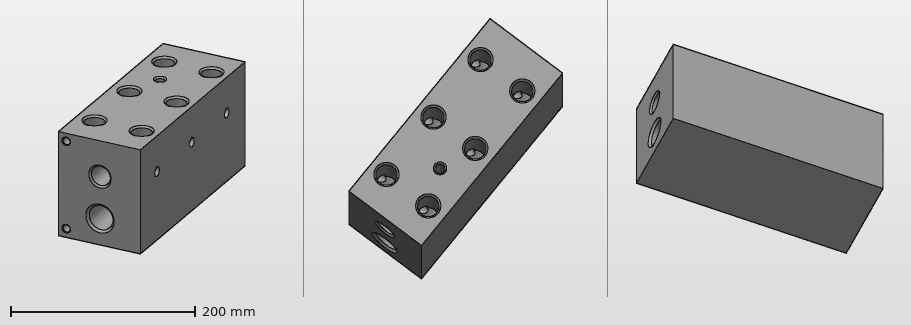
import cadquery as cq
import math

WIDTH = 100.0
LENGTH = 248.2
HEIGHT = 125.3
TOP = HEIGHT / 2
FRONT = -LENGTH / 2
RIGHT = WIDTH / 2

DRILL_POINT_ANGLE = 118.0

GALLERY_X = 0.7
UPPER_GALLERY_Z = 19.5
UPPER_GALLERY_DIAMETER = 23.0
UPPER_GALLERY_MOUTH_DIAMETER = 27.3
LOWER_GALLERY_Z = -30.8
LOWER_GALLERY_DIAMETER = 29.0
LOWER_GALLERY_MOUTH_DIAMETER = 34.5

PASSAGE_DIAMETER = 11.0
PASSAGE_OFFSET_Y = -3.5
PASSAGE_FLOOR_ABOVE_PORT_TIP = 4.2
PASSAGE_Z = UPPER_GALLERY_Z

PORT_DIAMETER = UPPER_GALLERY_DIAMETER
PORT_MOUTH_DIAMETER = UPPER_GALLERY_MOUTH_DIAMETER
LEFT_COLUMN_X = -28.0
RIGHT_COLUMN_X = 29.5
MIDDLE_ROW_Y = 1.5
ROW_PITCH = 82.6
ROWS_Y = [MIDDLE_ROW_Y + step * ROW_PITCH for step in (-1, 0, 1)]
PORT_TIP_Z = PASSAGE_Z - PASSAGE_DIAMETER / 2 - PASSAGE_FLOOR_ABOVE_PORT_TIP

GAUGE_DIAMETER = 10.7
GAUGE_MOUTH_DIAMETER = 14.5
GAUGE_X = -12.0
GAUGE_Y = 43.0
GAUGE_DEPTH = TOP - UPPER_GALLERY_Z

MOUNT_DIAMETER = 8.5
MOUNT_MOUTH_DIAMETER = 10.2
MOUNT_DEPTH = 19.9
MOUNT_X = -40.5
MOUNT_MIDDLE_Z = 0.5
MOUNT_SPACING = 105.0


def point_length(diameter):
    """Length of the conical point left by a drill."""
    return diameter / 2 / math.tan(math.radians(DRILL_POINT_ANGLE / 2))


def revolve_about_y(outline):
    return outline.close().revolve(360, (0, 0, 0), (0, 1, 0))


def drilling(diameter, mouth_diameter, depth):
    """Blind hole going down from the origin; depth is that of its cylindrical wall."""
    radius = diameter / 2
    mouth_radius = mouth_diameter / 2
    chamfer = mouth_radius - radius
    outline = (
        cq.Workplane("XZ")
        .lineTo(mouth_radius, 0)
        .lineTo(radius, -chamfer)
        .lineTo(radius, -depth)
        .lineTo(0, -depth - point_length(diameter))
    )
    return revolve_about_y(outline)


def gallery(diameter, mouth_diameter, z):
    """Through bore along Y with a chamfer at both ends."""
    radius = diameter / 2
    mouth_radius = mouth_diameter / 2
    chamfer = mouth_radius - radius
    back = -FRONT
    outline = (
        cq.Workplane("XY")
        .moveTo(0, FRONT)
        .lineTo(mouth_radius, FRONT)
        .lineTo(radius, FRONT + chamfer)
        .lineTo(radius, back - chamfer)
        .lineTo(mouth_radius, back)
        .lineTo(0, back)
    )
    return revolve_about_y(outline).translate((GALLERY_X, 0, z))


def passage(start_x, end_x, port_y):
    """Bore along X from a port axis, set to one side of that axis."""
    start = (start_x, port_y + PASSAGE_OFFSET_Y, PASSAGE_Z)
    return cq.Workplane("YZ", origin=start).circle(PASSAGE_DIAMETER / 2).extrude(end_x - start_x)


def cut_galleries(block):
    upper = gallery(UPPER_GALLERY_DIAMETER, UPPER_GALLERY_MOUTH_DIAMETER, UPPER_GALLERY_Z)
    lower = gallery(LOWER_GALLERY_DIAMETER, LOWER_GALLERY_MOUTH_DIAMETER, LOWER_GALLERY_Z)
    return block.cut(upper).cut(lower)


def cut_ports(block):
    """Left ports open into the upper gallery, right ports into the right face."""
    depth = TOP - PORT_TIP_Z - point_length(PORT_DIAMETER)
    port = drilling(PORT_DIAMETER, PORT_MOUTH_DIAMETER, depth)
    for x, passage_end_x in ((LEFT_COLUMN_X, GALLERY_X), (RIGHT_COLUMN_X, RIGHT)):
        for y in ROWS_Y:
            block = block.cut(port.translate((x, y, TOP)))
            block = block.cut(passage(x, passage_end_x, y))
    return block


def cut_gauge_port(block):
    gauge_port = drilling(GAUGE_DIAMETER, GAUGE_MOUTH_DIAMETER, GAUGE_DEPTH)
    return block.cut(gauge_port.translate((GAUGE_X, GAUGE_Y, TOP)))


def cut_mounting_holes(block):
    hole = drilling(MOUNT_DIAMETER, MOUNT_MOUTH_DIAMETER, MOUNT_DEPTH)
    hole = hole.rotate((0, 0, 0), (1, 0, 0), 90)
    for side in (-1, 1):
        z = MOUNT_MIDDLE_Z + side * MOUNT_SPACING / 2
        block = block.cut(hole.translate((MOUNT_X, FRONT, z)))
    return block


def manifold_block():
    block = cq.Workplane("XY").box(WIDTH, LENGTH, HEIGHT)
    block = cut_galleries(block)
    block = cut_ports(block)
    block = cut_gauge_port(block)
    return cut_mounting_holes(block)


manifold = manifold_block()

result = cq.Compound.makeCompound([*manifold.solids().vals()])